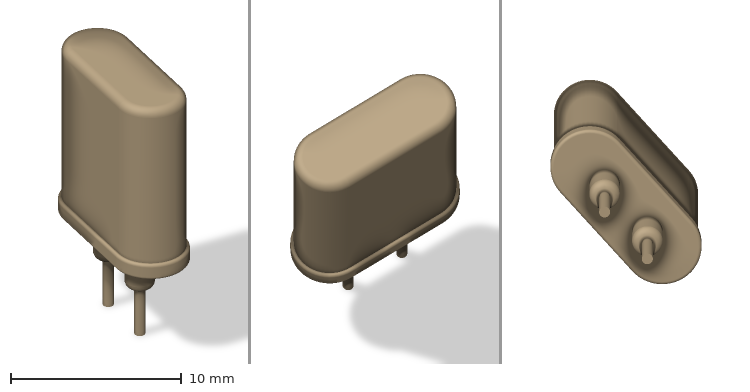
import cadquery as cq

total_height = 17.13
base_length = 11.05
base_width = 4.63

sleeve_bottom = 3.19
base_bottom = 5.69
base_top = 6.71

base_edge_radius = 0.19
base_overhang = 0.2
can_length = base_length - 2 * base_overhang
can_width = base_width - 2 * base_overhang
can_edge_radius = 0.51

lead_spacing = 3.8
lead_diameter = 0.65
sleeve_diameter = 1.8
sleeve_edge_radius = 0.48


def stadium(length, width, bottom, top):
    """Upright block with straight long sides and round ends."""
    return (
        cq.Workplane("XY")
        .workplane(offset=bottom)
        .slot2D(length, width)
        .extrude(top - bottom)
    )


def make_base():
    """Flat plate with rounded upper and lower rims."""
    plate = stadium(base_length, base_width, base_bottom, base_top)
    return plate.faces("<Z or >Z").edges().fillet(base_edge_radius)


def make_can():
    """Tall cover standing on the base, rounded round its top."""
    cover = stadium(can_length, can_width, base_top, total_height)
    return cover.faces(">Z").edges().fillet(can_edge_radius)


def make_sleeve(x):
    """Sleeve under the base, rounded at its lower end and bored for a lead."""
    body = (
        cq.Workplane("XY", origin=(x, 0, sleeve_bottom))
        .circle(sleeve_diameter / 2)
        .extrude(base_bottom - sleeve_bottom)
        .faces("<Z")
        .edges()
        .fillet(sleeve_edge_radius)
    )
    return body.faces(">Z").workplane(origin=(x, 0, base_bottom)).hole(lead_diameter)


def make_lead(x):
    """Round wire running through its sleeve up to the base."""
    return cq.Workplane("XY", origin=(x, 0, 0)).circle(lead_diameter / 2).extrude(base_bottom)


base = make_base()
can = make_can()
sleeves = []
leads = []
for side in (-1, 1):
    lead_x = side * lead_spacing / 2
    sleeves.append(make_sleeve(lead_x).val())
    leads.append(make_lead(lead_x).val())

result = cq.Compound.makeCompound([base.val(), can.val(), *sleeves, *leads])